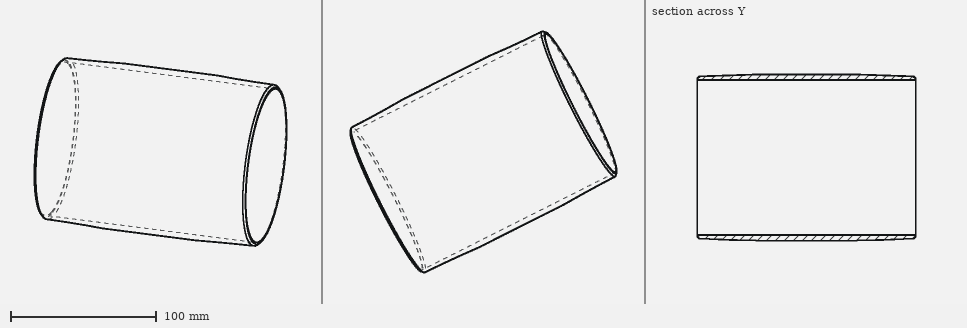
import cadquery as cq

length = 150.0
outer_radius = 57.2
wall = 4.0
bore_radius = outer_radius - wall

middle_length = 66.0

taper_drop = 1.4
taper_end_radius = outer_radius - taper_drop
bevel_length = 1.5
land_width = 1.2
face_radius = bore_radius + land_width

half_length = length / 2
half_middle = middle_length / 2
bevel_start = half_length - bevel_length


def pipe_wall():
    """Half section of the wall above the X axis, revolved about that axis."""
    section = (
        cq.Workplane("XZ")
        .moveTo(-half_length, bore_radius)
        .lineTo(-half_length, face_radius)
        .lineTo(-bevel_start, taper_end_radius)
        .lineTo(-half_middle, outer_radius)
        .lineTo(half_middle, outer_radius)
        .lineTo(bevel_start, taper_end_radius)
        .lineTo(half_length, face_radius)
        .lineTo(half_length, bore_radius)
        .close()
    )
    return section.revolve(360, (0, 0, 0), (1, 0, 0))


result = pipe_wall()